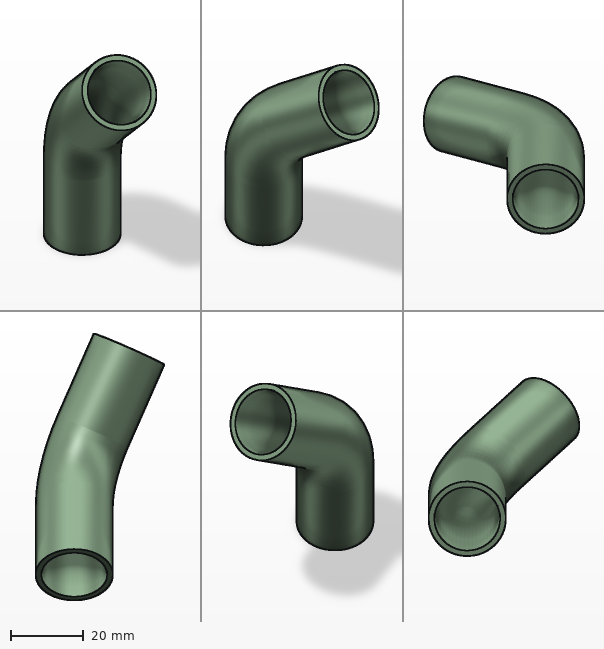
import cadquery as cq
import math

outer_diameter = 21.3
inner_diameter = 18.1
leg_length = 25.0
bend_radius = 29.95
bend_angle = 45.0

angle = math.radians(bend_angle)
half_angle = angle / 2


def bend_point(turn):
    """Centreline point after turning by the given angle along the bend."""
    x = bend_radius * (1 - math.cos(turn))
    z = leg_length + bend_radius * math.sin(turn)
    return (x, z)


bend_start = bend_point(0)
bend_middle = bend_point(half_angle)
bend_end = bend_point(angle)
tube_end = (
    bend_end[0] + leg_length * math.sin(angle),
    bend_end[1] + leg_length * math.cos(angle),
)

centreline = (
    cq.Workplane("XZ")
    .moveTo(0, 0)
    .lineTo(*bend_start)
    .threePointArc(bend_middle, bend_end)
    .lineTo(*tube_end)
)

result = (
    cq.Workplane("XY")
    .circle(outer_diameter / 2)
    .circle(inner_diameter / 2)
    .sweep(centreline)
)